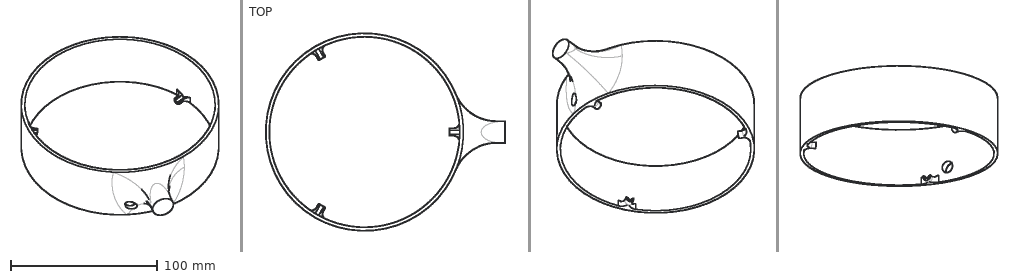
import math

import cadquery as cq

OUTER_RADIUS = 67.5
WALL = 2.5
HEIGHT = 40.0
SEAM_TURN = 180.0
INNER_RADIUS = OUTER_RADIUS - WALL

HANDLE_RADIUS = 7.5
HANDLE_AXIS_Z = 30.0
HANDLE_END_X = 96.0
FLARE_RADIUS = 30.0
FLARE_RUN_OUT = 20.0

HOLE_DIAMETER = 8.0
HOLE_ANGLE = -11.5
HOLE_Z = 10.0

PEG_ANGLES = (0, 120, 240)
PEG_TIP_RADIUS = 58.0
PEG_RADIUS = 2.7
PEG_AXIS_Z = 2.7
PEG_BASE_FILLET = 3.5
GROOVE_RADIUS = 1.35
GROOVE_AXIS_Z = 2.9
FLANK_ANGLE = 25.0
PEG_REACH = PEG_RADIUS + PEG_BASE_FILLET


def make_drum():
    """Solid drum, turned so that its seam lies on the side away from the handle."""
    drum = cq.Workplane("XY").circle(OUTER_RADIUS).extrude(HEIGHT)
    return drum.rotate((0, 0, 0), (0, 0, 1), SEAM_TURN)


def make_drum_with_handle():
    """Drum and handle stub joined by the flare, ended flat at the handle tip."""
    stub = (
        cq.Workplane("YZ", origin=(0, 0, HANDLE_AXIS_Z))
        .circle(HANDLE_RADIUS)
        .extrude(HANDLE_END_X + FLARE_RUN_OUT)
    )
    joint = cq.selectors.BoxSelector(
        (INNER_RADIUS, -HANDLE_RADIUS, HANDLE_AXIS_Z - HANDLE_RADIUS),
        (OUTER_RADIUS + WALL, HANDLE_RADIUS, HANDLE_AXIS_Z + HANDLE_RADIUS),
    )
    body = make_drum().union(stub).edges(joint).fillet(FLARE_RADIUS)
    run_out = (
        cq.Workplane("YZ", origin=(HANDLE_END_X, 0, 0))
        .rect(2 * OUTER_RADIUS, 2 * HEIGHT)
        .extrude(FLARE_RUN_OUT)
    )
    return body.cut(run_out)


def make_hole():
    """Radial cutter for the hole."""
    hole = cq.Workplane("YZ").center(0, HOLE_Z).circle(HOLE_DIAMETER / 2).extrude(HANDLE_END_X)
    return hole.rotate((0, 0, 0), (0, 0, 1), HOLE_ANGLE)


def make_groove():
    """Everything above the V flanks and the round groove, along X."""
    edge_y = GROOVE_RADIUS
    rise = (PEG_REACH - edge_y) * math.tan(math.radians(FLANK_ANGLE))
    top_z = PEG_AXIS_Z + PEG_REACH
    return (
        cq.Workplane("YZ")
        .moveTo(-edge_y, GROOVE_AXIS_Z)
        .threePointArc((0, GROOVE_AXIS_Z - GROOVE_RADIUS), (edge_y, GROOVE_AXIS_Z))
        .lineTo(PEG_REACH, GROOVE_AXIS_Z + rise)
        .lineTo(PEG_REACH, top_z)
        .lineTo(-PEG_REACH, top_z)
        .lineTo(-PEG_REACH, GROOVE_AXIS_Z + rise)
        .close()
        .extrude(OUTER_RADIUS)
    )


def make_peg():
    """Peg along X with its filleted foot and the piece of ring wall behind it."""
    wall = (
        cq.Workplane("XY", origin=(0, 0, -HEIGHT))
        .circle(OUTER_RADIUS)
        .circle(INNER_RADIUS)
        .extrude(2 * HEIGHT)
        .rotate((0, 0, 0), (0, 0, 1), SEAM_TURN)
    )
    rod = (
        cq.Workplane("YZ", origin=(PEG_TIP_RADIUS, 0, PEG_AXIS_Z))
        .circle(PEG_RADIUS)
        .extrude(INNER_RADIUS + WALL / 2 - PEG_TIP_RADIUS)
    )
    foot = cq.selectors.BoxSelector(
        (INNER_RADIUS - WALL, -PEG_RADIUS, PEG_AXIS_Z - PEG_RADIUS),
        (INNER_RADIUS + WALL, PEG_RADIUS, PEG_AXIS_Z + PEG_RADIUS),
    )
    peg = wall.union(rod).edges(foot).fillet(PEG_BASE_FILLET)
    envelope = (
        cq.Workplane("YZ")
        .center(0, PEG_REACH / 2)
        .rect(2 * PEG_REACH, PEG_REACH)
        .extrude(INNER_RADIUS + WALL / 2)
    )
    return peg.intersect(envelope).cut(make_groove())


bore = cq.Workplane("XY").circle(INNER_RADIUS).extrude(HEIGHT)
result = make_drum_with_handle().cut(bore)
peg = make_peg()
for angle in PEG_ANGLES:
    result = result.union(peg.rotate((0, 0, 0), (0, 0, 1), angle))
result = result.cut(make_hole())